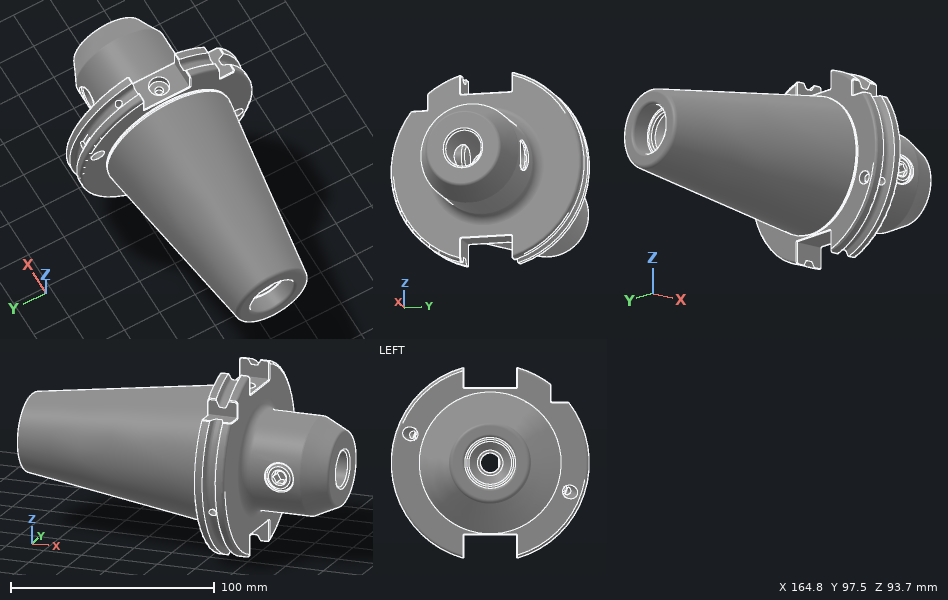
import cadquery as cq
import math

TOLERANCE = 0.02
MID_ARC = 1 - math.sqrt(0.5)

TOTAL_LENGTH = 164.8
TAPER_LENGTH = 102.5
FLANGE_FRONT_X = 105.0
FLANGE_BACK_X = 121.0
FLANGE_MIDDLE_X = (FLANGE_FRONT_X + FLANGE_BACK_X) / 2
NOSE_CONE_X = 151.7

TAPER_LARGE_RADIUS = 35.0
TAPER_RATIO = 7 / 24
TAPER_SMALL_RADIUS = TAPER_LARGE_RADIUS - TAPER_LENGTH * TAPER_RATIO / 2
TAPER_END_FILLET = 2.1
COLLAR_LENGTH = 0.8
NECK_CONE_LENGTH = 1.0
NECK_RADIUS = 34.5
FLANGE_DIAMETER = 97.5
FLANGE_RADIUS = FLANGE_DIAMETER / 2
FLANGE_FILLET = 1.5
NOSE_DIAMETER = 50.0
NOSE_RADIUS = NOSE_DIAMETER / 2
NOSE_FILLET = 4.8
NOSE_CONE_ANGLE = 25.0
NOSE_CONE_FILLET = 1.5
NOSE_END_FILLET = 1.6

GROOVE_HALF_WIDTH = 3.5
GROOVE_DEPTH = 3.0
GROOVE_FLOOR_FILLET = 1.3
GROOVE_HALF_ANGLE = 30.0
GROOVE_FLOOR_HALF_WIDTH = GROOVE_HALF_WIDTH - GROOVE_DEPTH * math.tan(math.radians(GROOVE_HALF_ANGLE))

SLOT_WIDTH = 26.0
TOP_SLOT_FLOOR = 37.0
BOTTOM_SLOT_FLOOR = 35.5
NOTCH_OFFSET = 30.0
CUTOUT_EDGE_CHAMFER = 0.41
CUTOUT_CORNER_FILLET = 0.5

CHIP_HOLE_DIAMETER = 10.4
CHIP_HOLE_DEPTH = 4.6
CHIP_PILOT_DIAMETER = 4.3
CHIP_PILOT_DEPTH = 3.3

COOLANT_ANGLES = (20.0, 200.0)
COOLANT_INLET_RADIUS = 41.8
COOLANT_INLET_DIAMETER = 6.6
COOLANT_INLET_TILT = 30.0
COOLANT_INLET_DEPTH = 9.9
COOLANT_CHANNEL_DIAMETER = 3.8
BALANCE_HOLE_ANGLE = 60.0
BALANCE_HOLE_DIAMETER = 3.8
BALANCE_HOLE_DEPTH = 6.6

MOUTH_RADIUS = 14.0
PILOT_BORE_RADIUS = 12.5
MOUTH_FILLET = MOUTH_RADIUS - PILOT_BORE_RADIUS
PILOT_BORE_DEPTH = 9.4
THREAD_MOUTH_RADIUS = 11.5
THREAD_BORE_RADIUS = 10.5
THREAD_BORE_DEPTH = 12.7
DRILL_TIP_ANGLE = 59.0
CHANNEL_RADIUS = 6.3
CHANNEL_END_RADIUS = 4.8
CHANNEL_STEP_X = 107.1
SHANK_BORE_RADIUS = 9.0
SHANK_BORE_DEPTH = 49.5
SHANK_BORE_CHAMFER = 1.0

SCREW_X = 140.7
SCREW_DIAMETER = 14.0
SCREW_RADIUS = SCREW_DIAMETER / 2
SCREW_HOLE_COUNTERSINK_RADIUS = 7.5
SCREW_OUTER_Y = -24.4
SCREW_TIP_Y = -4.1
SCREW_CHAMFER = 1.3
HEX_ACROSS_FLATS = 6.1
HEX_DEPTH = 6.6
HEX_MOUTH_RADIUS = 4.0


def revolve_about_x(profile):
    return profile.close().revolve(360, (0, 0, 0), (1, 0, 0))


def outer_body():
    cone_drop = (TOTAL_LENGTH - NOSE_CONE_X) * math.tan(math.radians(NOSE_CONE_ANGLE))
    collar_end_x = TAPER_LENGTH + COLLAR_LENGTH
    arc_reach = NOSE_FILLET * MID_ARC
    body = revolve_about_x(
        cq.Workplane("XZ")
        .moveTo(0, 0)
        .lineTo(0, TAPER_SMALL_RADIUS)
        .lineTo(TAPER_LENGTH, TAPER_LARGE_RADIUS)
        .lineTo(collar_end_x, TAPER_LARGE_RADIUS)
        .lineTo(collar_end_x + NECK_CONE_LENGTH, NECK_RADIUS)
        .lineTo(FLANGE_FRONT_X, NECK_RADIUS)
        .lineTo(FLANGE_FRONT_X, FLANGE_RADIUS)
        .lineTo(FLANGE_BACK_X, FLANGE_RADIUS)
        .lineTo(FLANGE_BACK_X, NOSE_RADIUS + NOSE_FILLET)
        .threePointArc(
            (FLANGE_BACK_X + arc_reach, NOSE_RADIUS + arc_reach),
            (FLANGE_BACK_X + NOSE_FILLET, NOSE_RADIUS),
        )
        .lineTo(NOSE_CONE_X, NOSE_RADIUS)
        .lineTo(TOTAL_LENGTH, NOSE_RADIUS - cone_drop)
        .lineTo(TOTAL_LENGTH, 0)
    )
    body = body.faces("<X").edges().fillet(TAPER_END_FILLET)
    body = body.faces(">X").edges().fillet(NOSE_END_FILLET)
    cone_rim = cq.selectors.BoxSelector(
        (NOSE_CONE_X - TOLERANCE, -FLANGE_RADIUS, -FLANGE_RADIUS),
        (NOSE_CONE_X + TOLERANCE, FLANGE_RADIUS, FLANGE_RADIUS),
    )
    body = body.edges("%CIRCLE").edges(cone_rim).fillet(NOSE_CONE_FILLET)
    flange_rims = cq.selectors.RadiusNthSelector(-1)
    return body.edges("%CIRCLE").edges(flange_rims).fillet(FLANGE_FILLET)


def flange_groove():
    floor_radius = FLANGE_RADIUS - GROOVE_DEPTH
    overshoot = 1.6
    groove = revolve_about_x(
        cq.Workplane("XZ")
        .moveTo(FLANGE_MIDDLE_X - GROOVE_HALF_WIDTH, FLANGE_RADIUS + overshoot)
        .lineTo(FLANGE_MIDDLE_X - GROOVE_HALF_WIDTH, FLANGE_RADIUS)
        .lineTo(FLANGE_MIDDLE_X - GROOVE_FLOOR_HALF_WIDTH, floor_radius)
        .lineTo(FLANGE_MIDDLE_X + GROOVE_FLOOR_HALF_WIDTH, floor_radius)
        .lineTo(FLANGE_MIDDLE_X + GROOVE_HALF_WIDTH, FLANGE_RADIUS)
        .lineTo(FLANGE_MIDDLE_X + GROOVE_HALF_WIDTH, FLANGE_RADIUS + overshoot)
    )
    floor_rims = cq.selectors.RadiusNthSelector(0)
    return groove.edges("%CIRCLE").edges(floor_rims).fillet(GROOVE_FLOOR_FILLET)


def cutout_block(size_y, y, z):
    """Block across the flange, reaching beyond its rim, with its edges along X filleted."""
    width_x = FLANGE_BACK_X - FLANGE_FRONT_X
    block = cq.Workplane("XY").box(width_x, size_y, FLANGE_RADIUS).edges("|X").fillet(CUTOUT_CORNER_FILLET)
    return block.translate((FLANGE_MIDDLE_X, y, z))


def is_on_flange_radius(edge):
    """True where a cutout wall meets the rim of the flange."""
    middle = edge.Center()
    return math.isclose(math.hypot(middle.y, middle.z), FLANGE_RADIUS, abs_tol=TOLERANCE)


def cut_flange(body):
    """Cuts the two drive slots and the notch, and chamfers the edges of each."""
    half_block = FLANGE_RADIUS / 2
    blocks = [
        cutout_block(SLOT_WIDTH, 0, TOP_SLOT_FLOOR + half_block),
        cutout_block(SLOT_WIDTH, 0, -BOTTOM_SLOT_FLOOR - half_block),
        cutout_block(FLANGE_RADIUS, -NOTCH_OFFSET - half_block, NOTCH_OFFSET + half_block),
    ]
    for block in blocks:
        body = body.cut(block)
    walls = body.faces("|Y or |Z")
    face_edges = walls.edges("not |X")
    outer_edges = walls.edges("|X").filter(is_on_flange_radius)
    return face_edges.add(outer_edges).chamfer(CUTOUT_EDGE_CHAMFER)


def drilled_hole(start, direction, diameter, depth):
    """Cylinder with a conical drill tip beyond its depth."""
    radius = diameter / 2
    tip_length = radius / math.tan(math.radians(DRILL_TIP_ANGLE))
    start = cq.Vector(*start)
    direction = cq.Vector(*direction)
    shaft = cq.Solid.makeCylinder(radius, depth, start, direction)
    tip = cq.Solid.makeCone(radius, 0, tip_length, start + direction.normalized() * depth, direction)
    return cq.Workplane(shaft).union(cq.Workplane(tip))


def chip_hole():
    down = cq.Vector(0, 0, -1)
    mouth = cq.Vector(FLANGE_MIDDLE_X, 0, TOP_SLOT_FLOOR)
    pocket = cq.Solid.makeCylinder(CHIP_HOLE_DIAMETER / 2, CHIP_HOLE_DEPTH, mouth, down)
    pocket_floor = (FLANGE_MIDDLE_X, 0, TOP_SLOT_FLOOR - CHIP_HOLE_DEPTH)
    pilot = drilled_hole(pocket_floor, (0, 0, -1), CHIP_PILOT_DIAMETER, CHIP_PILOT_DEPTH)
    return cq.Workplane(pocket).union(pilot)


def coolant_holes():
    """Tilted inlet in the flange face meeting a radial channel, both at +Y.

    The channel runs from the groove to the axis, and the inlet starts outside the flange face.
    """
    tilt = math.radians(COOLANT_INLET_TILT)
    inward = cq.Vector(math.cos(tilt), -math.sin(tilt), 0)
    lead_in = COOLANT_INLET_DIAMETER / 2
    mouth = cq.Vector(FLANGE_FRONT_X, COOLANT_INLET_RADIUS, 0)
    inlet = cq.Solid.makeCylinder(
        COOLANT_INLET_DIAMETER / 2, COOLANT_INLET_DEPTH + lead_in, mouth - inward * lead_in, inward
    )
    channel = cq.Solid.makeCylinder(
        COOLANT_CHANNEL_DIAMETER / 2, FLANGE_RADIUS, cq.Vector(FLANGE_MIDDLE_X, 0, 0), cq.Vector(0, 1, 0)
    )
    return cq.Workplane(inlet).union(cq.Workplane(channel))


def balance_hole():
    hole = drilled_hole(
        (FLANGE_MIDDLE_X, FLANGE_RADIUS, 0),
        (0, -1, 0),
        BALANCE_HOLE_DIAMETER,
        GROOVE_DEPTH + BALANCE_HOLE_DEPTH,
    )
    return hole.rotate((0, 0, 0), (1, 0, 0), BALANCE_HOLE_ANGLE)


def axial_bore():
    tip_length = (THREAD_BORE_RADIUS - CHANNEL_RADIUS) / math.tan(math.radians(DRILL_TIP_ANGLE))
    mouth_arc_reach = MOUTH_FILLET * MID_ARC
    thread_chamfer = THREAD_MOUTH_RADIUS - THREAD_BORE_RADIUS
    shank_floor_x = TOTAL_LENGTH - SHANK_BORE_DEPTH
    return revolve_about_x(
        cq.Workplane("XZ")
        .moveTo(0, 0)
        .lineTo(0, MOUTH_RADIUS)
        .threePointArc(
            (mouth_arc_reach, PILOT_BORE_RADIUS + mouth_arc_reach),
            (MOUTH_FILLET, PILOT_BORE_RADIUS),
        )
        .lineTo(PILOT_BORE_DEPTH, PILOT_BORE_RADIUS)
        .lineTo(PILOT_BORE_DEPTH, THREAD_MOUTH_RADIUS)
        .lineTo(PILOT_BORE_DEPTH + thread_chamfer, THREAD_BORE_RADIUS)
        .lineTo(THREAD_BORE_DEPTH, THREAD_BORE_RADIUS)
        .lineTo(THREAD_BORE_DEPTH + tip_length, CHANNEL_RADIUS)
        .lineTo(CHANNEL_STEP_X, CHANNEL_RADIUS)
        .lineTo(CHANNEL_STEP_X, CHANNEL_END_RADIUS)
        .lineTo(shank_floor_x, CHANNEL_END_RADIUS)
        .lineTo(shank_floor_x, SHANK_BORE_RADIUS)
        .lineTo(TOTAL_LENGTH - SHANK_BORE_CHAMFER, SHANK_BORE_RADIUS)
        .lineTo(TOTAL_LENGTH, SHANK_BORE_RADIUS + SHANK_BORE_CHAMFER)
        .lineTo(TOTAL_LENGTH, 0)
    )


def screw_hole():
    """Cross hole through the nose, countersunk at both ends."""
    countersink = SCREW_HOLE_COUNTERSINK_RADIUS - SCREW_RADIUS
    rim_y = math.sqrt(NOSE_RADIUS ** 2 - SCREW_HOLE_COUNTERSINK_RADIUS ** 2)
    half_profile = (
        cq.Workplane("XY")
        .moveTo(0, 0)
        .lineTo(SCREW_RADIUS, 0)
        .lineTo(SCREW_RADIUS, rim_y - countersink)
        .lineTo(SCREW_HOLE_COUNTERSINK_RADIUS, rim_y)
        .lineTo(SCREW_HOLE_COUNTERSINK_RADIUS, NOSE_RADIUS)
        .lineTo(0, NOSE_RADIUS)
        .close()
    )
    half = half_profile.revolve(360, (0, 0, 0), (0, 1, 0))
    return half.union(half.mirror("XZ")).translate((SCREW_X, 0, 0))


def make_holder():
    holder = cut_flange(outer_body()).cut(flange_groove())
    holder = holder.cut(chip_hole()).cut(balance_hole())
    for angle in COOLANT_ANGLES:
        holder = holder.cut(coolant_holes().rotate((0, 0, 0), (1, 0, 0), angle))
    return holder.cut(axial_bore()).cut(screw_hole())


def make_clamp_screw():
    """Set screw along Y with a countersunk hexagon socket in its outer end."""
    length = SCREW_TIP_Y - SCREW_OUTER_Y
    screw = cq.Workplane("XZ").circle(SCREW_RADIUS).extrude(length)
    screw = screw.faces("<Y or >Y").chamfer(SCREW_CHAMFER)
    socket = (
        cq.Workplane("XZ", origin=(0, -length, 0))
        .polygon(6, HEX_ACROSS_FLATS / math.cos(math.pi / 6))
        .extrude(-HEX_DEPTH)
    )
    mouth_cone = cq.Workplane(
        cq.Solid.makeCone(
            HEX_MOUTH_RADIUS, 0, HEX_MOUTH_RADIUS, cq.Vector(0, -length, 0), cq.Vector(0, 1, 0)
        )
    )
    return screw.cut(socket).cut(mouth_cone).translate((SCREW_X, SCREW_TIP_Y, 0))


holder = make_holder()
clamp_screw = make_clamp_screw()

result = cq.Compound.makeCompound([holder.val(), clamp_screw.val()])